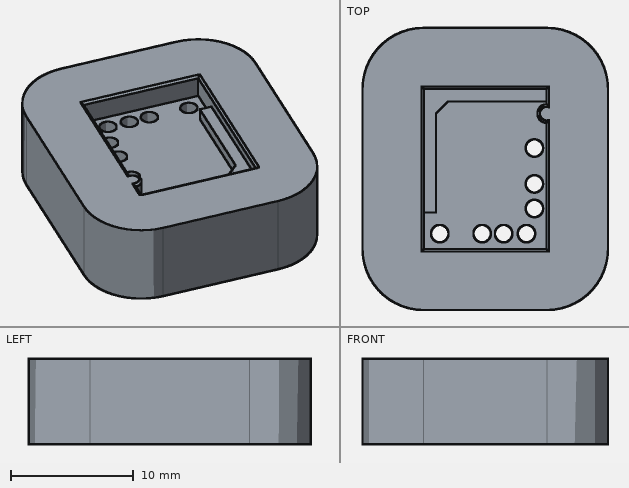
import cadquery as cq

BLOCK_X = 20.0
BLOCK_Y = 23.0
BLOCK_Z = 7.0
CORNER_RADIUS = 5.0

POCKET_X = 10.0
POCKET_Y = 13.02
POCKET_DEPTH = 2.0
RIM_CHAMFER = 0.2

LEDGE_WIDTH = 1.01
LEDGE_HEIGHT = POCKET_DEPTH / 2
LEDGE_CORNER = 0.97
LEDGE_FRONT_Y = -3.55

KEY_RADIUS = 0.75
KEY_Y = 4.5

HOLE_DIAMETER = 1.4
COLUMN_X = 4.0
COLUMN_YS = (1.7, -1.22, -3.22)
ROW_Y = -5.27
ROW_XS = (-3.7, -0.25, 1.5, 3.35)

FLOOR_Z = BLOCK_Z - POCKET_DEPTH
POCKET_RIGHT = POCKET_X / 2
POCKET_LEFT = -POCKET_RIGHT
POCKET_BACK = POCKET_Y / 2


def make_block():
    block = cq.Workplane("XY").box(BLOCK_X, BLOCK_Y, BLOCK_Z, centered=(True, True, False))
    return block.edges("|Z").fillet(CORNER_RADIUS)


def make_key():
    """Cylinder centred on the right wall, half of which projects into the pocket."""
    key = cq.Workplane("XY", origin=(POCKET_RIGHT, KEY_Y, FLOOR_Z)).circle(KEY_RADIUS).extrude(POCKET_DEPTH)
    return key.faces(">Z").chamfer(RIM_CHAMFER)


def make_pocket():
    """Pocket volume with a flared rim."""
    pocket = cq.Workplane("XY", origin=(0, 0, FLOOR_Z)).rect(POCKET_X, POCKET_Y).extrude(POCKET_DEPTH)
    rim_x = POCKET_X + 2 * RIM_CHAMFER
    rim_y = POCKET_Y + 2 * RIM_CHAMFER
    rim = (
        cq.Workplane("XY", origin=(0, 0, BLOCK_Z - RIM_CHAMFER))
        .rect(POCKET_X, POCKET_Y)
        .workplane(offset=RIM_CHAMFER)
        .rect(rim_x, rim_y)
        .loft(ruled=True)
    )
    return pocket.union(rim)


def make_ledge():
    inner_x = POCKET_LEFT + LEDGE_WIDTH
    inner_y = POCKET_BACK - LEDGE_WIDTH
    return (
        cq.Workplane("XY", origin=(0, 0, FLOOR_Z))
        .moveTo(POCKET_LEFT, LEDGE_FRONT_Y)
        .lineTo(inner_x, LEDGE_FRONT_Y)
        .lineTo(inner_x, inner_y - LEDGE_CORNER)
        .lineTo(inner_x + LEDGE_CORNER, inner_y)
        .lineTo(POCKET_RIGHT, inner_y)
        .lineTo(POCKET_RIGHT, POCKET_BACK)
        .lineTo(POCKET_LEFT, POCKET_BACK)
        .close()
        .extrude(LEDGE_HEIGHT)
    )


def make_holes():
    centres = [(COLUMN_X, y) for y in COLUMN_YS] + [(x, ROW_Y) for x in ROW_XS]
    return cq.Workplane("XY").pushPoints(centres).circle(HOLE_DIAMETER / 2).extrude(BLOCK_Z)


cavity = make_pocket().cut(make_key()).cut(make_ledge())
result = make_block().cut(cavity).cut(make_holes())